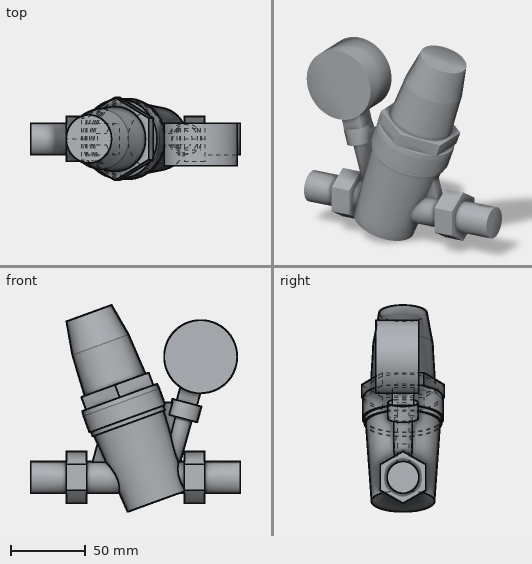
import cadquery as cq
import math

pipe_length = 140.0
pipe_radius = 10.6
nut_across_corners = 34.7
nut_width = 13.6
nut_offset = 39.5

body_x = 8.8
body_tilt = 20.0
body_bottom = -17.0
step_bottom = 38.5
collar_bottom = 41.7
collar_shoulder = 53.6
collar_top = 56.8
hex_top = 65.8
cap_shoulder = 94.5
body_top = 116.8
bottom_radius = 21.1
body_upper_radius = 24.9
step_radius = 25.9
collar_radius = 27.0
collar_top_radius = 26.6
cap_base_radius = 21.7
cap_shoulder_radius = 20.0
cap_top_radius = 16.1
hex_across_corners = 55.5

tube_x = 21.0
tube_tilt = 15.0
tube_base_radius = 5.9
tube_radius = 6.3
tube_taper_end = 39.8
sleeve_bottom = 40.7
sleeve_length = 10.9
sleeve_radius = 10.1
stem_side = 14.1
gauge_x = 43.5
gauge_z = 80.6
gauge_radius = 24.5
gauge_back = 10.5
gauge_depth = 28.5

web_thickness = 7.5
web_top = 50.1
web_left_x = -31.5


def leaning_plane(x, tilt):
    """Plane on the pipe axis at x; its normal leans from +Z toward +X by tilt degrees."""
    angle = math.radians(tilt)
    return cq.Plane(
        origin=(x, 0, 0),
        xDir=(math.cos(angle), 0, -math.sin(angle)),
        normal=(math.sin(angle), 0, math.cos(angle)),
    )


def pipe_with_nuts():
    pipe = cq.Workplane("YZ").circle(pipe_radius).extrude(pipe_length / 2, both=True)
    for centre in (-nut_offset, nut_offset):
        nut = (
            cq.Workplane("YZ", origin=(centre, 0, 0))
            .transformed(rotate=(0, 0, 90))
            .polygon(6, nut_across_corners)
            .extrude(nut_width / 2, both=True)
        )
        pipe = pipe.union(nut)
    return pipe


def valve_body():
    plane = leaning_plane(body_x, -body_tilt)
    profile_plane = cq.Plane(origin=plane.origin, xDir=plane.xDir, normal=(0, -1, 0))
    turned = (
        cq.Workplane(profile_plane)
        .polyline([
            (0, body_bottom),
            (bottom_radius, body_bottom),
            (body_upper_radius, step_bottom),
            (step_radius, step_bottom),
            (step_radius, collar_bottom),
            (collar_radius, collar_bottom),
            (collar_radius, collar_shoulder),
            (collar_top_radius, collar_top),
            (cap_base_radius, collar_top),
            (cap_base_radius, hex_top),
            (cap_shoulder_radius, cap_shoulder),
            (cap_top_radius, body_top),
            (0, body_top),
        ])
        .close()
        .revolve(360, (0, 0), (0, 1))
    )
    hexagon = (
        cq.Workplane(plane)
        .workplane(offset=collar_top)
        .transformed(rotate=(0, 0, 90))
        .polygon(6, hex_across_corners)
        .extrude(hex_top - collar_top)
    )
    return turned.union(hexagon)


def gauge_assembly():
    sleeve_top = sleeve_bottom + sleeve_length
    stem_end = gauge_z / math.cos(math.radians(tube_tilt))
    base = cq.Workplane(leaning_plane(tube_x, tube_tilt))
    tube = (
        base.circle(tube_base_radius)
        .workplane(offset=tube_taper_end)
        .circle(tube_radius)
        .loft()
    )
    neck = base.workplane(offset=tube_taper_end).circle(tube_radius).extrude(sleeve_top - tube_taper_end)
    sleeve = base.workplane(offset=sleeve_bottom).circle(sleeve_radius).extrude(sleeve_length)
    stem = (
        base.workplane(offset=sleeve_top)
        .rect(stem_side, stem_side)
        .extrude(stem_end - sleeve_top)
    )
    dial = (
        cq.Workplane("XZ", origin=(gauge_x, gauge_back, gauge_z))
        .circle(gauge_radius)
        .extrude(gauge_depth)
    )
    return tube.union(neck).union(sleeve).union(stem).union(dial)


def web():
    lean = web_top * math.tan(math.radians(tube_tilt))
    return (
        cq.Workplane("XZ")
        .polyline([
            (web_left_x, 0),
            (tube_x, 0),
            (tube_x + lean, web_top),
            (web_left_x + lean, web_top),
        ])
        .close()
        .extrude(web_thickness / 2, both=True)
    )


result = pipe_with_nuts().union(valve_body()).union(web()).union(gauge_assembly())